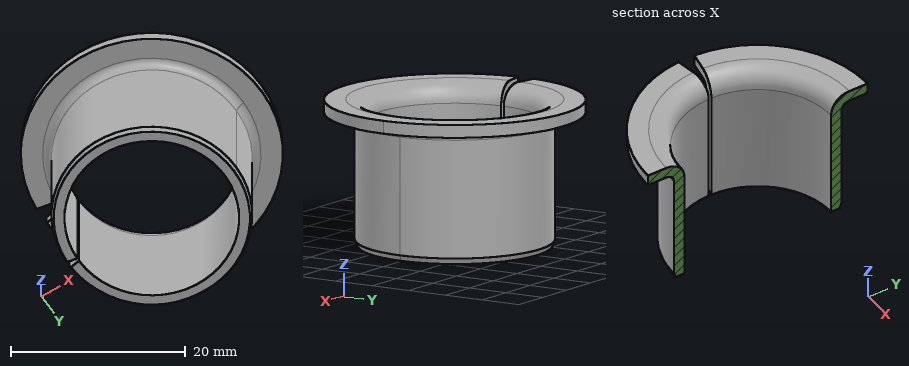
import cadquery as cq
import math

flange_radius = 15.0
bore_radius = 9.98
wall = 1.5
height = 17.0
mouth_radius = 2.5

chamfer_height = 0.72
chamfer_angle = 20.0

split_half_angle = 10.0
split_half_width_at_bore = 0.18
split_overrun = 1.5

tube_radius = bore_radius + wall
neck_radius = mouth_radius - wall
bend_center_radius = bore_radius + mouth_radius
bend_center_z = height - mouth_radius
chamfer_width = chamfer_height * math.tan(math.radians(chamfer_angle))


def on_bend(radius):
    """Midpoint, as (radius, Z), of a quarter arc about the bend centre."""
    offset = radius * math.sqrt(0.5)
    return (bend_center_radius - offset, bend_center_z + offset)


def flanged_tube():
    """Full ring of constant wall thickness, revolved about Z."""
    return (
        cq.Workplane("XZ")
        .moveTo(bore_radius, 0)
        .lineTo(tube_radius - chamfer_width, 0)
        .lineTo(tube_radius, chamfer_height)
        .lineTo(tube_radius, bend_center_z)
        .threePointArc(on_bend(neck_radius), (bend_center_radius, height - wall))
        .lineTo(flange_radius, height - wall)
        .lineTo(flange_radius, height)
        .lineTo(bend_center_radius, height)
        .threePointArc(on_bend(mouth_radius), (bore_radius, bend_center_z))
        .close()
        .revolve(360, (0, 0, 0), (0, 1, 0))
    )


def split_wedge():
    """Full-height wedge whose tip lies inside the bore."""
    slope = math.tan(math.radians(split_half_angle))
    tip_x = -bore_radius + split_half_width_at_bore / slope
    outer_x = -flange_radius - split_overrun
    outer_half_width = (tip_x - outer_x) * slope
    return (
        cq.Workplane("XY")
        .polyline([(tip_x, 0), (outer_x, outer_half_width), (outer_x, -outer_half_width)])
        .close()
        .extrude(height)
    )


result = flanged_tube().cut(split_wedge())